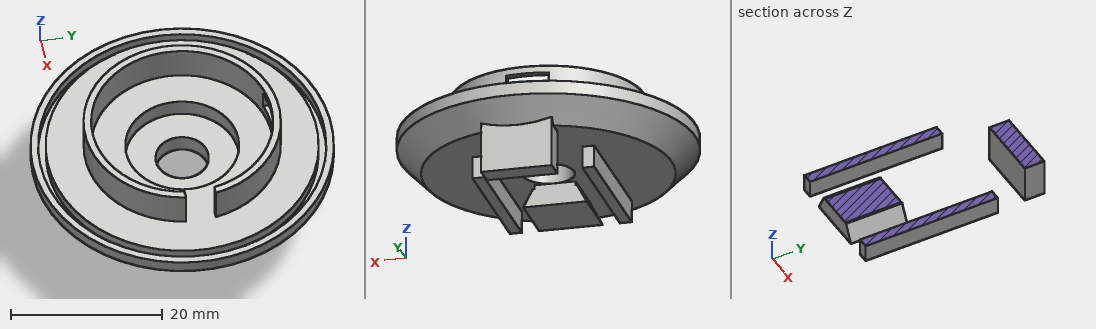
import cadquery as cq

plate_diameter = 40.0
rim_height = 1.8
cone_height = 3.3
plate_bottom_diameter = 33.6
plate_height = rim_height + cone_height

groove_outer_diameter = 38.0
groove_inner_diameter = 36.0
groove_depth = 1.5

bore_diameter = 7.0
counterbore_diameter = 15.0
counterbore_depth = 2.5

collar_outer_diameter = 26.0
collar_wall = 1.0
collar_inner_diameter = collar_outer_diameter - 2 * collar_wall
collar_height = 5.0
gap_width = 4.0
gap_center_y = -0.1
window_width = 5.75
window_center_x = -0.35
window_height = 2.5
window_sill = 1.5

rail_depth = 3.0
rail_width = 1.6
rail_spacing = 14.95
rail_front_y = -12.0
rail_length = 20.0
dovetail_neck_width = 5.6
dovetail_neck_height = 0.5
dovetail_shoulder_width = 6.0
dovetail_base_width = 8.65
dovetail_length = -rail_front_y - bore_diameter / 2

peg_width = 9.6
peg_thickness = 3.0
peg_inner_y = 14.0
peg_depth = 6.0


def box(width, length, height, center_x, front_y, bottom_z):
    """Box centred on center_x that grows towards +Y and +Z."""
    return (
        cq.Workplane("XY")
        .box(width, length, height, centered=(True, False, False))
        .translate((center_x, front_y, bottom_z))
    )


def ring(outer_diameter, inner_diameter, height, bottom_z):
    return (
        cq.Workplane("XY", origin=(0, 0, bottom_z))
        .circle(outer_diameter / 2)
        .circle(inner_diameter / 2)
        .extrude(height)
    )


def make_plate():
    profile = [
        (0, 0),
        (plate_bottom_diameter / 2, 0),
        (plate_diameter / 2, cone_height),
        (plate_diameter / 2, plate_height),
        (0, plate_height),
    ]
    plate = cq.Workplane("XZ").polyline(profile).close().revolve(360, (0, 0), (0, 1))
    plate = plate.cut(
        ring(groove_outer_diameter, groove_inner_diameter, groove_depth, plate_height - groove_depth)
    )
    return (
        plate.faces(">Z")
        .workplane(origin=(0, 0, plate_height))
        .cboreHole(bore_diameter, counterbore_diameter, counterbore_depth)
    )


def make_collar():
    reach = collar_outer_diameter / 2
    collar = ring(collar_outer_diameter, collar_inner_diameter, collar_height, plate_height)
    gap = box(reach, gap_width, collar_height, reach, gap_center_y - gap_width / 2, plate_height)
    window = box(window_width, reach, window_height, window_center_x, 0, plate_height + window_sill)
    return collar.cut(gap).cut(window)


def make_dovetail():
    right_side = [
        (dovetail_neck_width / 2, 0),
        (dovetail_neck_width / 2, -dovetail_neck_height),
        (dovetail_shoulder_width / 2, -dovetail_neck_height),
        (dovetail_base_width / 2, -rail_depth),
    ]
    left_side = [(-x, z) for x, z in reversed(right_side)]
    return (
        cq.Workplane("XZ", origin=(0, rail_front_y, 0))
        .polyline(right_side + left_side)
        .close()
        .extrude(-dovetail_length)
    )


def make_peg():
    return box(peg_width, peg_thickness, peg_depth + cone_height, 0, peg_inner_y, -peg_depth)


result = make_plate().union(make_collar()).union(make_dovetail()).union(make_peg())
for side in (-1, 1):
    rail = box(rail_width, rail_length, rail_depth, side * rail_spacing / 2, rail_front_y, -rail_depth)
    result = result.union(rail)